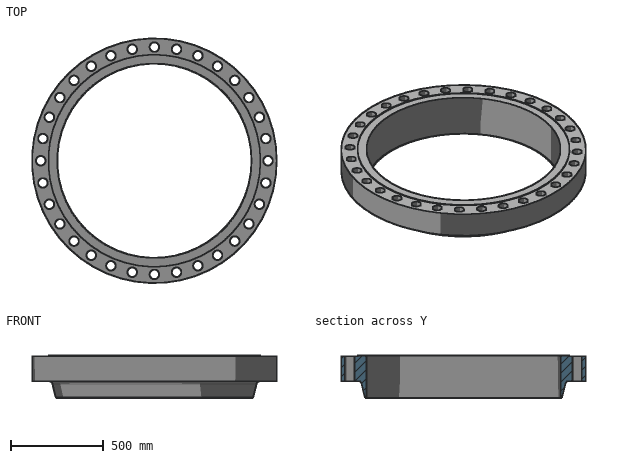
import cadquery as cq

flange_radius = 660.0
bore_radius = 523.0
total_height = 230.0

face_radius = 572.0
face_height = 4.0

flange_thickness = 136.0

hub_root_radius = 555.0
root_fillet = 16.0
weld_end_radius = 534.0
bevel_height = 4.0
bevel_width = 7.0

bolt_count = 32
bolt_circle_radius = 613.0
bolt_hole_diameter = 50.0

flange_top = total_height - face_height
flange_bottom = flange_top - flange_thickness


def make_body():
    """Revolve the (radius, height) section and fillet the hub root, its third largest circle."""
    section = [
        (bore_radius, 0),
        (weld_end_radius - bevel_width, 0),
        (weld_end_radius, bevel_height),
        (hub_root_radius, flange_bottom),
        (flange_radius, flange_bottom),
        (flange_radius, flange_top),
        (face_radius, flange_top),
        (face_radius, total_height),
        (bore_radius, total_height),
    ]
    body = cq.Workplane("XZ").polyline(section).close().revolve(360, (0, 0), (0, 1))
    hub_root = cq.selectors.RadiusNthSelector(-3)
    return body.edges(hub_root).fillet(root_fillet)


def make_bolt_holes():
    """Cylinders on the bolt circle, the first one on the X axis."""
    return (
        cq.Workplane("XY")
        .polarArray(bolt_circle_radius, 0, 360, bolt_count)
        .circle(bolt_hole_diameter / 2)
        .extrude(total_height)
    )


result = make_body().cut(make_bolt_holes())